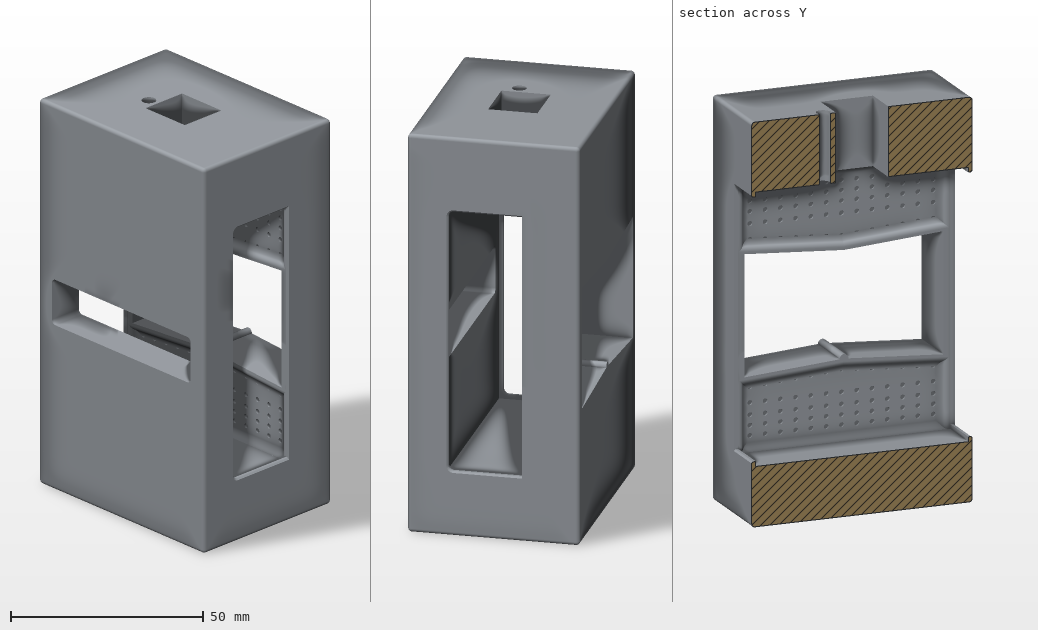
import cadquery as cq
import math

WIDTH = 62.0
DEPTH = 46.0
HEIGHT = 110.0
EDGE_ROUND = 1.0
SPLIT_Y = -3.6
FRONT_Y = -DEPTH / 2
BACK_Y = DEPTH / 2

EDGE_MARGIN = 0.1

MIDDLE_Z = -1.3
TUNNEL_FRONT_Y = -12.1
TUNNEL_BACK_Y = 7.7
TUNNEL_HEIGHT = 71.7
TUNNEL_ROUND = 1.4
TUNNEL_DEPTH = TUNNEL_BACK_Y - TUNNEL_FRONT_Y
TUNNEL_MIDDLE_Y = (TUNNEL_FRONT_Y + TUNNEL_BACK_Y) / 2
MOUTH_CHAMFER = 0.4

SIDE_WALL = 1.2
CAVITY_HEIGHT = 74.4
CAVITY_FRONT_Y = -13.3
CAVITY_BACK_Y = 7.9

SLOT_WIDTH = 51.9
SLOT_HEIGHT = 13.0
SLOT_ROUND = 1.2

SQUARE_HOLE_WIDTH = 14.7
SQUARE_HOLE_DEPTH = 13.2
SQUARE_HOLE_Y = -0.5
CORD_HOLE_DIAMETER = 3.8
CORD_HOLE_X = -10.3
CORD_HOLE_Y = -3.1

OPENING_HALF_WIDTH = 27.9
OPENING_HALF_HEIGHT = 16.7
WAIST_RISE = 2.0
RIDGE_DIAMETER = 2.4

PANEL_DEPTH = 1.8
PANEL_HALF_WIDTH = 28.6
PANEL_RIM = 1.6
PANEL_SIDE_RUN = 1.0
PANEL_BOTTOM_ROUND = 1.9
PANEL_RIM_ROUND = 1.4
PANEL_EDGE_HEIGHT = OPENING_HALF_HEIGHT + PANEL_RIM
PANEL_Y = CAVITY_BACK_Y + PANEL_DEPTH
PANEL_TAPER = math.degrees(math.atan2(PANEL_SIDE_RUN, PANEL_DEPTH))

DIMPLE_DIAMETER = 1.3
DIMPLE_DEPTH = 0.5
DIMPLE_PITCH = 4.3
DIMPLES_EACH_SIDE = 6
DIMPLE_ROWS = (24.3, 27.6, 30.5, 33.2)
RIM_ROW = 20.1


def back_wall_plane(y):
    """Plane at a given Y: local x is -X, local y is +Z from the tunnel's middle, extrusions go to +Y."""
    return cq.Plane(origin=(0, y, MIDDLE_Z), xDir=(-1, 0, 0), normal=(0, 1, 0))


def rounded_block():
    return cq.Workplane("XY").box(WIDTH, DEPTH, HEIGHT).edges().fillet(EDGE_ROUND)


def block_slice(from_y, to_y):
    """The part of the rounded block between two Y positions."""
    slab = cq.Workplane("XY").box(WIDTH, to_y - from_y, HEIGHT).translate((0, (from_y + to_y) / 2, 0))
    return rounded_block().intersect(slab)


def tunnel():
    """Straight tunnel along X, with rounded front edges."""
    return (
        cq.Workplane("XY")
        .box(WIDTH, TUNNEL_DEPTH, TUNNEL_HEIGHT)
        .translate((0, TUNNEL_MIDDLE_Y, MIDDLE_Z))
        .edges("|X and <Y")
        .fillet(TUNNEL_ROUND)
    )


def chamfer_tunnel_mouths(shell):
    """Chamfer the tunnel's edges in the two side faces, all but the edge at the back."""
    half_height = TUNNEL_HEIGHT / 2 + EDGE_MARGIN
    around_mouths = cq.selectors.BoxSelector(
        (-WIDTH, TUNNEL_FRONT_Y - EDGE_MARGIN, MIDDLE_Z - half_height),
        (WIDTH, TUNNEL_BACK_Y - EDGE_MARGIN, MIDDLE_Z + half_height),
    )
    return shell.faces("<X or >X").edges(around_mouths).chamfer(MOUTH_CHAMFER)


def cavity():
    return (
        cq.Workplane("XY")
        .box(WIDTH - 2 * SIDE_WALL, CAVITY_BACK_Y - CAVITY_FRONT_Y, CAVITY_HEIGHT)
        .translate((0, (CAVITY_FRONT_Y + CAVITY_BACK_Y) / 2, MIDDLE_Z))
    )


def front_slot():
    return (
        cq.Workplane("XZ", origin=(0, CAVITY_FRONT_Y, MIDDLE_Z))
        .rect(SLOT_WIDTH, SLOT_HEIGHT)
        .extrude(CAVITY_FRONT_Y - FRONT_Y)
        .edges("|Y")
        .fillet(SLOT_ROUND)
    )


def top_openings():
    """Square hole and round cord hole from the top face down into the cavity."""
    drop = HEIGHT / 2 - MIDDLE_Z
    square = (
        cq.Workplane("XY", origin=(0, SQUARE_HOLE_Y, MIDDLE_Z))
        .rect(SQUARE_HOLE_WIDTH, SQUARE_HOLE_DEPTH)
        .extrude(drop)
    )
    cord = (
        cq.Workplane("XY", origin=(CORD_HOLE_X, CORD_HOLE_Y, MIDDLE_Z))
        .circle(CORD_HOLE_DIAMETER / 2)
        .extrude(drop)
    )
    return square.union(cord)


def back_opening():
    """Opening through the back wall, with a half-round ridge across its floor at the waist."""
    waist_half_height = OPENING_HALF_HEIGHT - WAIST_RISE
    opening = (
        cq.Workplane(back_wall_plane(CAVITY_BACK_Y))
        .moveTo(-OPENING_HALF_WIDTH, -OPENING_HALF_HEIGHT)
        .lineTo(0, -waist_half_height)
        .lineTo(OPENING_HALF_WIDTH, -OPENING_HALF_HEIGHT)
        .lineTo(OPENING_HALF_WIDTH, OPENING_HALF_HEIGHT)
        .lineTo(0, waist_half_height)
        .lineTo(-OPENING_HALF_WIDTH, OPENING_HALF_HEIGHT)
        .close()
        .extrude(BACK_Y - CAVITY_BACK_Y)
    )
    ridge = (
        cq.Workplane(back_wall_plane(CAVITY_BACK_Y))
        .center(0, -waist_half_height)
        .circle(RIDGE_DIAMETER / 2)
        .extrude(BACK_Y - CAVITY_BACK_Y)
    )
    return opening.cut(ridge)


def panel_recess():
    """Recess above the back opening: sloped sides, softened edges and a grid of dimples in its flat face."""
    recess = (
        cq.Workplane(back_wall_plane(CAVITY_BACK_Y))
        .moveTo(-PANEL_HALF_WIDTH, CAVITY_HEIGHT / 2)
        .lineTo(-PANEL_HALF_WIDTH, PANEL_EDGE_HEIGHT)
        .lineTo(0, PANEL_EDGE_HEIGHT - WAIST_RISE)
        .lineTo(PANEL_HALF_WIDTH, PANEL_EDGE_HEIGHT)
        .lineTo(PANEL_HALF_WIDTH, CAVITY_HEIGHT / 2)
        .close()
        .extrude(PANEL_DEPTH, taper=PANEL_TAPER)
        .faces(">Y")
        .edges()
        .fillet(PANEL_BOTTOM_ROUND)
    )
    columns = range(-DIMPLES_EACH_SIDE, DIMPLES_EACH_SIDE + 1)
    row_rise = DIMPLE_PITCH * WAIST_RISE / OPENING_HALF_WIDTH
    spots = [(column * DIMPLE_PITCH, row) for column in columns for row in DIMPLE_ROWS]
    spots += [(column * DIMPLE_PITCH, RIM_ROW - WAIST_RISE + abs(column) * row_rise) for column in columns]
    dimples = (
        cq.Workplane(back_wall_plane(PANEL_Y))
        .pushPoints(spots)
        .circle(DIMPLE_DIAMETER / 2)
        .extrude(DIMPLE_DEPTH)
    )
    return recess.union(dimples)


def round_panel_rims(shell):
    """Round the edges where the two panel recesses break through the cavity's back face."""
    for side in (-1, 1):
        near = MIDDLE_Z + side * (PANEL_EDGE_HEIGHT - WAIST_RISE)
        far = MIDDLE_Z + side * (CAVITY_HEIGHT / 2 - EDGE_MARGIN)
        around_rim = cq.selectors.BoxSelector(
            (-PANEL_HALF_WIDTH - EDGE_MARGIN, CAVITY_BACK_Y - EDGE_MARGIN, near),
            (PANEL_HALF_WIDTH + EDGE_MARGIN, CAVITY_BACK_Y + EDGE_MARGIN, far),
        )
        shell = shell.edges(around_rim).fillet(PANEL_RIM_ROUND)
    return shell


def front_shell_body():
    shell = block_slice(FRONT_Y, SPLIT_Y).cut(tunnel())
    return chamfer_tunnel_mouths(shell).cut(cavity()).cut(front_slot()).cut(top_openings())


def back_shell_body():
    shell = block_slice(SPLIT_Y, BACK_Y).cut(tunnel())
    shell = chamfer_tunnel_mouths(shell).cut(cavity()).cut(top_openings()).cut(back_opening())
    upper_recess = panel_recess()
    lower_recess = upper_recess.mirror("XY", (0, 0, MIDDLE_Z))
    return round_panel_rims(shell.cut(upper_recess).cut(lower_recess))


front_shell = front_shell_body()
back_shell = back_shell_body()

result = cq.Compound.makeCompound([front_shell.val(), back_shell.val()])